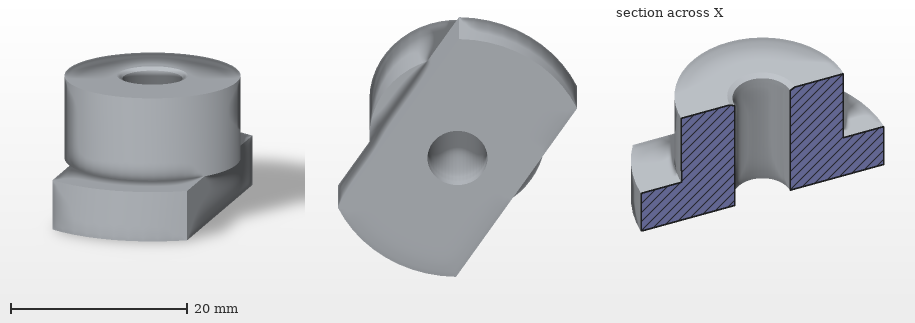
import cadquery as cq

flange_diameter = 29.9
flange_width = 16.0
flange_height = 5.8

boss_diameter = 20.0
total_height = 15.5
boss_height = total_height - flange_height

bore_diameter = 6.82
countersink_diameter = 8.0
countersink_angle = 120.0


def make_flange():
    disc = cq.Workplane("XY").circle(flange_diameter / 2).extrude(flange_height)
    strip = cq.Workplane("XY").rect(flange_width, flange_diameter).extrude(flange_height)
    return disc.intersect(strip)


def make_boss():
    return (
        cq.Workplane("XY")
        .workplane(offset=flange_height)
        .circle(boss_diameter / 2)
        .extrude(boss_height)
    )


body = make_flange().union(make_boss())

result = (
    body.faces(">Z")
    .workplane(origin=(0, 0, total_height))
    .cskHole(bore_diameter, countersink_diameter, countersink_angle)
)